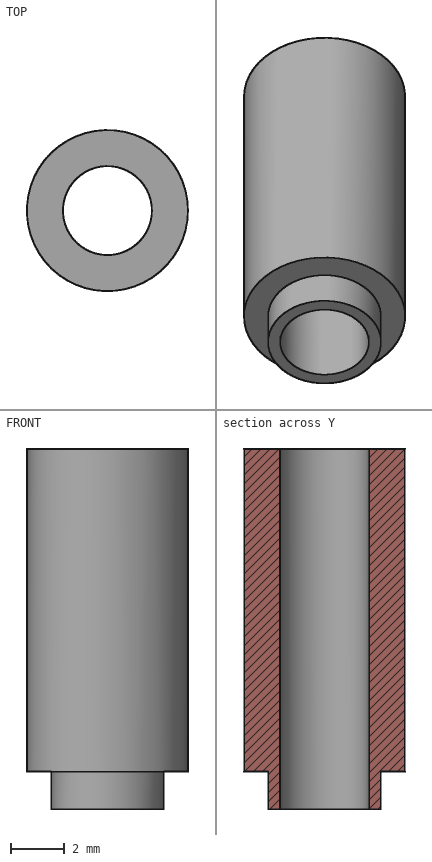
import cadquery as cq

body_diameter = 6.0
body_length = 12.0
spigot_diameter = 4.2
spigot_length = 1.4
bore_diameter = 3.3

total_length = body_length + spigot_length


def cylinder(diameter, length, base_z):
    """Cylinder on the Z axis, rising from base_z."""
    return cq.Workplane("XY").workplane(offset=base_z).circle(diameter / 2).extrude(length)


body = cylinder(body_diameter, body_length, 0)
spigot = cylinder(spigot_diameter, spigot_length, -spigot_length)

bore = cylinder(bore_diameter, total_length, -spigot_length)

result = body.union(spigot).cut(bore)